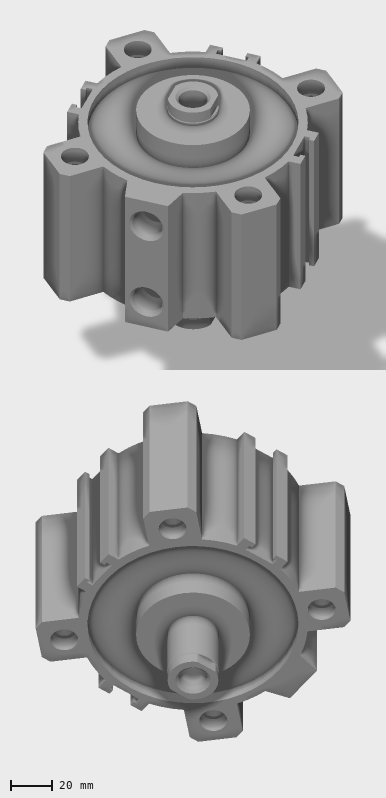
import cadquery as cq
import math

BODY_HEIGHT = 77.0
BARREL_RADIUS = 55.5
SQUARE_HALF = 60.0
OVERCUT = 1.0

RECESS_DIAMETER = 102.0
RECESS_DEPTH = 6.5
COVER_DIAMETER = 55.0
COVER_RISE = 7.5

LUG_ANGLES = (45, 135, 225, 315)
LUG_WIDTH = 26.0
LUG_REACH = 75.5
LUG_HOLE_CIRCLE = 126.0
LUG_HOLE_DIAMETER = 10.0
LUG_BORE_DIAMETER = 13.5
LUG_BORE_DEPTH = 8.5

RAIL_ANGLES = (0, 90, 180)
RAIL_WIDTH = 26.0
SLOT_OPENING = 12.4
SLOT_WIDTH = 16.0
SLOT_FLOOR = 54.4
LIP_THICKNESS = 2.6

PORT_FACE = 66.0
PORT_FACE_WIDTH = 22.2
PORT_FLANK_ANGLE = 14.5
PORT_DIAMETER = 15.3
PORT_MOUTH_DIAMETER = 17.6
PORT_CHAMFER = (PORT_MOUTH_DIAMETER - PORT_DIAMETER) / 2
PORT_DEPTH = 14.0
PORT_INSET = 15.25

ROD_DIAMETER = 25.0
ROD_CHAMFER = 0.5
ROD_TOP_REACH = 8.0
ROD_BOTTOM_REACH = 33.0
TIP_DIAMETER = 24.5
TIP_LENGTH = 6.0
FLAT_SPACING = 22.0
FLAT_LENGTH = 5.7
TAP_DIAMETER = 14.2
TAP_MOUTH_DIAMETER = 17.0
TAP_CHAMFER = (TAP_MOUTH_DIAMETER - TAP_DIAMETER) / 2
TAP_DEPTH = 25.0
DRILL_POINT_ANGLE = 118.0

COVER_BOTTOM = -COVER_RISE
COVER_TOP = BODY_HEIGHT + COVER_RISE
ROD_BOTTOM = COVER_BOTTOM - ROD_BOTTOM_REACH
ROD_TOP = COVER_TOP + ROD_TOP_REACH


def cylinder(diameter, z_start, z_end):
    """Upright cylinder on the Z axis."""
    return cq.Workplane("XY", origin=(0, 0, z_start)).circle(diameter / 2).extrude(z_end - z_start)


def block(x_start, x_end, width):
    """Full-height block along +X, centred on the X axis."""
    length = x_end - x_start
    return cq.Workplane("XY").rect(length, width).extrude(BODY_HEIGHT).translate((x_start + length / 2, 0, 0))


def turned(shape, angle):
    return shape.rotate((0, 0, 0), (0, 0, 1), angle)


def make_lugs():
    """Diagonal corner bars, trimmed to the square envelope."""
    lugs = cq.Workplane("XY")
    for angle in LUG_ANGLES:
        lugs = lugs.union(turned(block(0, LUG_REACH, LUG_WIDTH), angle))
    envelope = cq.Workplane("XY").rect(2 * SQUARE_HALF, 2 * SQUARE_HALF).extrude(BODY_HEIGHT)
    return lugs.intersect(envelope)


def make_rail():
    return block(0, SQUARE_HALF, RAIL_WIDTH)


def make_t_slot():
    opening = block(SLOT_FLOOR, SQUARE_HALF + OVERCUT, SLOT_OPENING)
    return opening.union(block(SLOT_FLOOR, SQUARE_HALF - LIP_THICKNESS, SLOT_WIDTH))


def make_port_boss():
    """Trapezoid that widens from its flat face towards the barrel axis."""
    face_half = PORT_FACE_WIDTH / 2
    root_half = face_half + PORT_FACE * math.tan(math.radians(PORT_FLANK_ANGLE))
    outline = [(-face_half, -PORT_FACE), (face_half, -PORT_FACE), (root_half, 0), (-root_half, 0)]
    return cq.Workplane("XY").polyline(outline).close().extrude(BODY_HEIGHT)


def make_port(z_centre):
    """Blind flat-bottomed port with a chamfered mouth, revolved about its own axis."""
    bore = PORT_DIAMETER / 2
    profile = [
        (0, 0),
        (PORT_MOUTH_DIAMETER / 2, 0),
        (bore, PORT_CHAMFER),
        (bore, PORT_DEPTH),
        (0, PORT_DEPTH),
    ]
    port = cq.Workplane("XY").polyline(profile).close().revolve(360, (0, 0), (0, 1))
    return port.translate((0, -PORT_FACE, z_centre))


def make_lug_hole():
    """Through hole with a larger bore at both ends, on the +X axis."""
    hole = cylinder(LUG_HOLE_DIAMETER, 0, BODY_HEIGHT)
    hole = hole.union(cylinder(LUG_BORE_DIAMETER, 0, LUG_BORE_DEPTH))
    hole = hole.union(cylinder(LUG_BORE_DIAMETER, BODY_HEIGHT - LUG_BORE_DEPTH, BODY_HEIGHT))
    return hole.translate((LUG_HOLE_CIRCLE / 2, 0, 0))


def make_housing():
    housing = cylinder(2 * BARREL_RADIUS, 0, BODY_HEIGHT).union(make_lugs()).union(make_port_boss())
    for angle in RAIL_ANGLES:
        housing = housing.union(turned(make_rail(), angle))
    for angle in RAIL_ANGLES:
        housing = housing.cut(turned(make_t_slot(), angle))
    for angle in LUG_ANGLES:
        housing = housing.cut(turned(make_lug_hole(), angle))
    for z_centre in (PORT_INSET, BODY_HEIGHT - PORT_INSET):
        housing = housing.cut(make_port(z_centre))
    housing = housing.cut(cylinder(RECESS_DIAMETER, 0, RECESS_DEPTH))
    housing = housing.cut(cylinder(RECESS_DIAMETER, BODY_HEIGHT - RECESS_DEPTH, BODY_HEIGHT))
    housing = housing.union(cylinder(COVER_DIAMETER, COVER_BOTTOM, COVER_TOP))
    return housing.cut(cylinder(ROD_DIAMETER, COVER_BOTTOM, COVER_TOP))


def make_tip():
    """Rod tip from Z = 0 up, with a wrench flat on each X side."""
    tip = cylinder(TIP_DIAMETER, 0, TIP_LENGTH)
    flat_stock = cq.Workplane("XY").rect(FLAT_SPACING, ROD_DIAMETER).extrude(TIP_LENGTH)
    collar = cylinder(TIP_DIAMETER, 0, TIP_LENGTH - FLAT_LENGTH)
    return tip.intersect(flat_stock).union(collar)


def make_tapped_hole():
    """Blind hole opening upwards at Z = 0, with a chamfered mouth and a drill point."""
    radius = TAP_DIAMETER / 2
    point_depth = radius / math.tan(math.radians(DRILL_POINT_ANGLE / 2))
    profile = [
        (0, 0),
        (TAP_MOUTH_DIAMETER / 2, 0),
        (radius, -TAP_CHAMFER),
        (radius, -TAP_DEPTH),
        (0, -TAP_DEPTH - point_depth),
    ]
    return cq.Workplane("XZ").polyline(profile).close().revolve(360, (0, 0), (0, 1))


def make_rod():
    shaft_bottom = ROD_BOTTOM + TIP_LENGTH
    shaft_top = ROD_TOP - TIP_LENGTH
    rod = cylinder(ROD_DIAMETER, shaft_bottom, shaft_top).faces("<Z or >Z").chamfer(ROD_CHAMFER)
    upper_tip = make_tip()
    lower_tip = make_tip().mirror("XY")
    rod = rod.union(upper_tip.translate((0, 0, shaft_top)))
    rod = rod.union(lower_tip.translate((0, 0, shaft_bottom)))
    rod = rod.cut(make_tapped_hole().translate((0, 0, ROD_TOP)))
    return rod.cut(make_tapped_hole().mirror("XY").translate((0, 0, ROD_BOTTOM)))


housing = make_housing()
rod = make_rod()

result = cq.Compound.makeCompound([housing.val(), rod.val()])